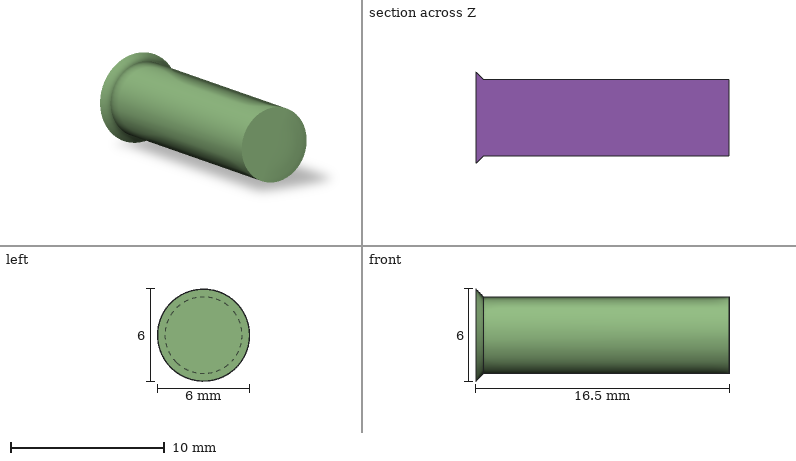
import cadquery as cq

overall_length = 16.5
shank_diameter = 5.0
head_diameter = 6.0
head_length = 0.5

shank_radius = shank_diameter / 2
head_radius = head_diameter / 2


def countersunk_pin():
    """Solid pin along +X whose conical head starts at X = 0."""
    half_profile = (
        cq.Workplane("XY")
        .moveTo(0, 0)
        .lineTo(0, -head_radius)
        .lineTo(head_length, -shank_radius)
        .lineTo(overall_length, -shank_radius)
        .lineTo(overall_length, 0)
        .close()
    )
    return half_profile.revolve(360, (0, 0, 0), (1, 0, 0))


result = countersunk_pin()